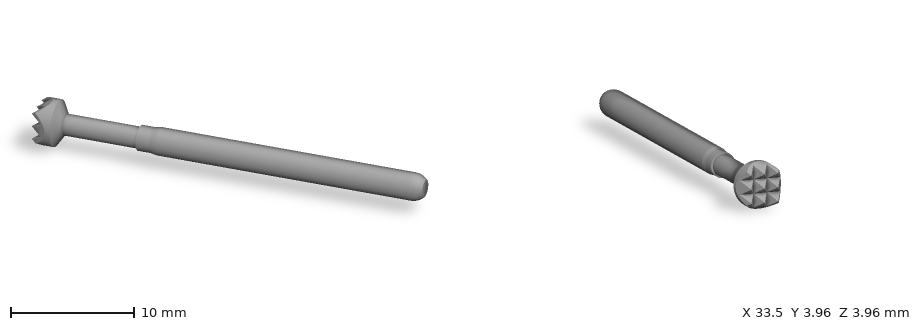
import cadquery as cq
import math

total_length = 33.53
head_rim_end = 1.85
head_cone_end = 2.55
plunger_end = 8.92
collar_end = 10.03
barrel_start = 10.63
rounding_length = 1.0

head_radius = 1.98
plunger_radius = 0.9
collar_radius = 1.07
barrel_radius = 1.17
tail_face_radius = 0.75

teeth_per_side = 3
tooth_pitch = 1.17
tooth_angle = 60.0
flank_slope = math.tan(math.radians(tooth_angle / 2))


def make_body():
    """Revolve the stepped probe, with its rounded tail, about X."""
    rounding_start = total_length - rounding_length
    drop = barrel_radius - tail_face_radius
    arc_radius = (rounding_length**2 + drop**2) / (2 * drop)
    half_sweep = math.asin(rounding_length / arc_radius) / 2
    arc_middle = (
        rounding_start + arc_radius * math.sin(half_sweep),
        barrel_radius - arc_radius * (1 - math.cos(half_sweep)),
    )
    return (
        cq.Workplane("XY")
        .moveTo(0, 0)
        .lineTo(0, head_radius)
        .lineTo(head_rim_end, head_radius)
        .lineTo(head_cone_end, plunger_radius)
        .lineTo(plunger_end, plunger_radius)
        .lineTo(plunger_end, collar_radius)
        .lineTo(collar_end, collar_radius)
        .lineTo(barrel_start, barrel_radius)
        .lineTo(rounding_start, barrel_radius)
        .threePointArc(arc_middle, (total_length, tail_face_radius))
        .lineTo(total_length, 0)
        .close()
        .revolve(360, (0, 0, 0), (1, 0, 0))
    )


def make_grooves():
    """V grooves along Z between the tooth rows, plus the slanted cuts outside the end rows."""
    outer_tip = tooth_pitch * (teeth_per_side - 1) / 2
    half_pitch = tooth_pitch / 2
    outlines = []
    for i in range(teeth_per_side - 1):
        low_tip = i * tooth_pitch - outer_tip
        valley = (half_pitch / flank_slope, low_tip + half_pitch)
        outlines.append([(0, low_tip), valley, (0, low_tip + tooth_pitch)])
    flank_end = outer_tip + tooth_pitch
    flank_depth = tooth_pitch / flank_slope
    for side in (-1, 1):
        outlines.append([(0, side * outer_tip), (flank_depth, side * flank_end), (0, side * flank_end)])
    grooves = cq.Workplane("XY")
    for outline in outlines:
        grooves = grooves.add(
            cq.Workplane("XY").polyline(outline).close().extrude(2 * head_radius, both=True)
        )
    return grooves.combine()


grooves_along_z = make_grooves()
grooves_along_y = grooves_along_z.rotate((0, 0, 0), (1, 0, 0), 90)
result = make_body().cut(grooves_along_z).cut(grooves_along_y)